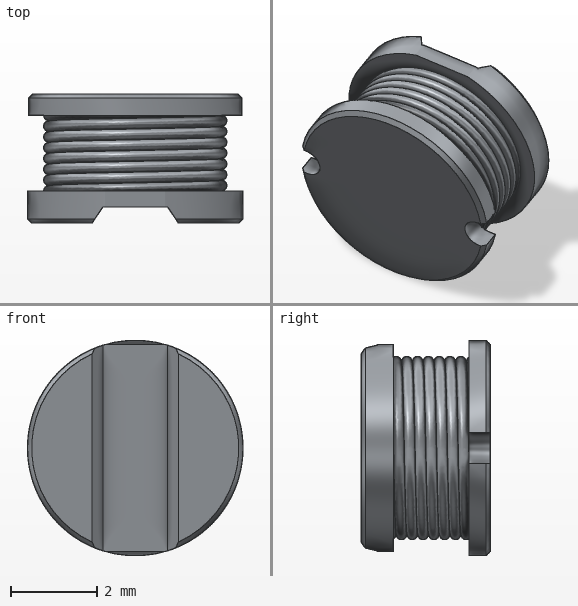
import cadquery as cq

flange_radius = 2.5
total_length = 3.0
front_thickness = 0.75
rear_thickness = 0.5
rim_chamfer = 0.1

groove_floor_width = 1.5
groove_mouth_width = 2.0
groove_depth = 0.375
flat_distance = 2.4

notch_radius = 0.36
notch_center_radius = 2.31

core_radius = 2.0
wire_radius = 0.12
winding_radius = 2.005
winding_pitch = 0.25
winding_turns = 8
winding_start = front_thickness - winding_pitch / 2

rear_start = total_length - rear_thickness


def make_front_flange():
    flange = cq.Workplane("XY").circle(flange_radius).extrude(front_thickness)
    flange = flange.faces("<Z").chamfer(rim_chamfer)

    flat_half_width = (flange_radius**2 - flat_distance**2) ** 0.5
    flat_height = flange_radius - flat_distance
    for side in (-1, 1):
        flat = cq.Workplane("XY").box(
            2 * flat_half_width, flat_height, front_thickness, centered=(True, True, False)
        )
        flange = flange.cut(flat.translate((0, side * (flat_distance + flat_height / 2), 0)))

    groove = (
        cq.Workplane("XZ")
        .polyline([
            (-groove_mouth_width / 2, 0),
            (groove_mouth_width / 2, 0),
            (groove_floor_width / 2, groove_depth),
            (-groove_floor_width / 2, groove_depth),
        ])
        .close()
        .extrude(flange_radius, both=True)
    )
    return flange.cut(groove)


def make_rear_flange():
    flange = cq.Workplane("XY").workplane(offset=rear_start).circle(flange_radius).extrude(rear_thickness)
    return flange.faces(">Z").chamfer(rim_chamfer)


def make_notches():
    slot_center_radius = flange_radius + notch_radius
    slot_length = 2 * (slot_center_radius - notch_center_radius + notch_radius)
    return (
        cq.Workplane("XY")
        .workplane(offset=rear_start)
        .pushPoints([(-slot_center_radius, 0), (slot_center_radius, 0)])
        .slot2D(slot_length, 2 * notch_radius)
        .extrude(rear_thickness)
    )


def make_winding():
    helix = cq.Wire.makeHelix(
        winding_pitch,
        winding_pitch * winding_turns,
        winding_radius,
        center=cq.Vector(0, 0, winding_start),
    )
    return (
        cq.Workplane("XZ")
        .center(winding_radius, winding_start)
        .circle(wire_radius)
        .sweep(cq.Workplane(helix), isFrenet=True)
    )


def make_core():
    core = cq.Workplane("XY").circle(core_radius).extrude(rear_start - front_thickness)
    return core.translate((0, 0, front_thickness)).rotate((0, 0, 0), (0, 0, 1), 180)


wound_core = make_core().union(make_winding())
bobbin = wound_core.union(make_front_flange()).union(make_rear_flange()).cut(make_notches())

result = bobbin.rotate((0, 0, 0), (1, 0, 0), -90)